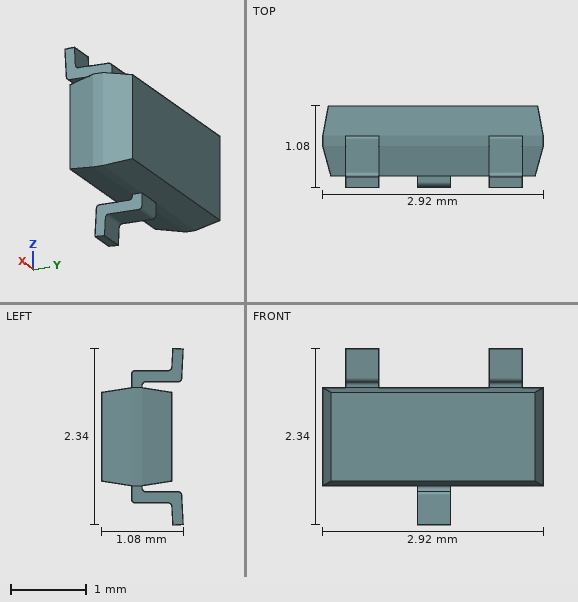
import cadquery as cq
import math


body_width = 2.92
overall_depth = 1.08
overall_height = 2.34

body_height = 1.30
band_depth = 0.14
cap_depth = 0.395
cap_inset_z = 0.062
front_inset_x = 0.108
rear_inset_x = 0.074

lead_width = 0.44
lead_offset_x = 0.95
lead_row_shift_x = 0.0125
arm_thickness = 0.15
arm_outer_rise = 0.226
foot_thickness = 0.14
foot_angle = math.radians(3)
bend_radius = 0.05

band_front_y = -band_depth
body_edge_z = body_height / 2


def tapered_cap(base_y, direction, inset_x):
    """Cap growing from the band face at base_y along direction (+1 or -1) in Y."""
    return (
        cq.Workplane("XZ", origin=(0, base_y, 0))
        .rect(body_width, body_height)
        .workplane(offset=-direction * cap_depth)
        .rect(body_width - 2 * inset_x, body_height - 2 * cap_inset_z)
        .loft(ruled=True)
    )


def moulded_body():
    """Straight band joined to its front and rear caps."""
    band = cq.Workplane("XZ").rect(body_width, body_height).extrude(band_depth)
    front_cap = tapered_cap(band_front_y, -1, front_inset_x)
    rear_cap = tapered_cap(0, 1, rear_inset_x)
    return band.union(front_cap).union(rear_cap)


def upper_lead(center_x):
    """Lead leaving the top of the band, running forward, then up into its foot."""
    arm_top_z = body_edge_z + arm_outer_rise
    arm_bottom_z = arm_top_z - arm_thickness
    slope = math.tan(foot_angle)

    toe_inner_z = overall_height / 2
    toe_outer_z = toe_inner_z - foot_thickness * math.sin(foot_angle)
    toe_outer_y = cap_depth - overall_depth
    toe_inner_y = toe_outer_y + foot_thickness * math.cos(foot_angle)
    inner_bend = (toe_inner_y + (toe_inner_z - arm_top_z) * slope, arm_top_z)
    heel = (toe_outer_y + (toe_outer_z - arm_bottom_z) * slope, arm_bottom_z)
    shoulder = (0, arm_top_z)
    armpit = (band_front_y, arm_bottom_z)

    lead = (
        cq.Workplane("YZ", origin=(center_x, 0, 0))
        .moveTo(0, body_edge_z)
        .lineTo(*shoulder)
        .lineTo(*inner_bend)
        .lineTo(toe_inner_y, toe_inner_z)
        .lineTo(toe_outer_y, toe_outer_z)
        .lineTo(*heel)
        .lineTo(*armpit)
        .lineTo(band_front_y, body_edge_z)
        .close()
        .extrude(lead_width / 2, both=True)
    )
    for y, z in (shoulder, inner_bend, heel, armpit):
        bend_edge = cq.selectors.NearestToPointSelector((center_x, y, z))
        lead = lead.edges("|X").edges(bend_edge).fillet(bend_radius)
    return lead


def lower_lead(center_x):
    """The same lead mirrored to leave the bottom of the band."""
    return upper_lead(center_x).mirror("XY")


result = moulded_body()
for lead_x in (lead_row_shift_x - lead_offset_x, lead_row_shift_x + lead_offset_x):
    result = result.union(upper_lead(lead_x))
result = result.union(lower_lead(lead_row_shift_x))